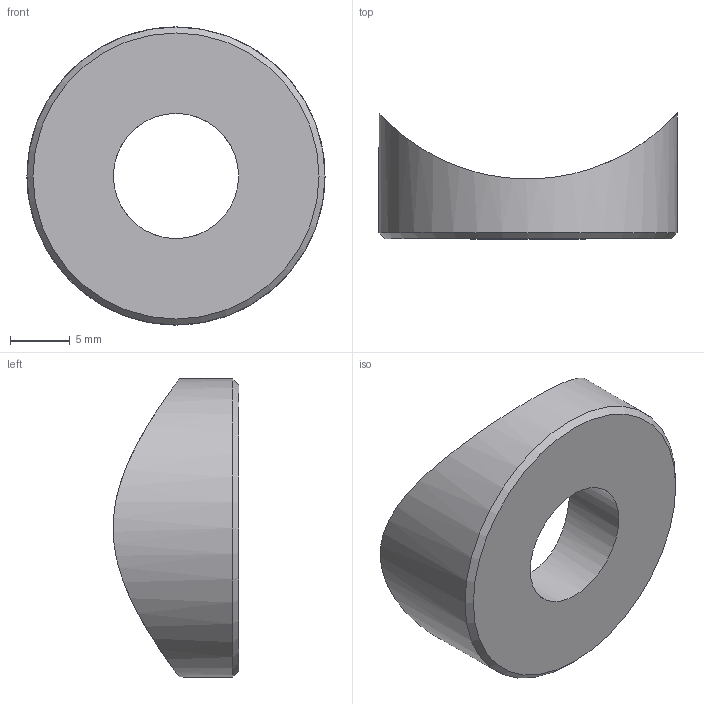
import cadquery as cq

OUTER_DIAMETER = 25.0
BORE_DIAMETER = 10.5
TUBE_DIAMETER = 33.7
CENTRE_THICKNESS = 5.0
FRONT_CHAMFER = 0.5

TUBE_RADIUS = TUBE_DIAMETER / 2
TUBE_AXIS_Y = CENTRE_THICKNESS + TUBE_RADIUS
BLANK_LENGTH = TUBE_AXIS_Y


def disc_blank():
    """Solid cylinder along +Y with a chamfered front rim."""
    blank = cq.Workplane("XZ").circle(OUTER_DIAMETER / 2).extrude(-BLANK_LENGTH)
    return blank.faces("<Y").edges().chamfer(FRONT_CHAMFER)


def tube_clearance():
    """Tube envelope, opened toward +Y so that it removes everything behind the saddle."""
    return (
        cq.Workplane("XY")
        .moveTo(-TUBE_RADIUS, TUBE_AXIS_Y)
        .threePointArc((0, CENTRE_THICKNESS), (TUBE_RADIUS, TUBE_AXIS_Y))
        .close()
        .extrude(OUTER_DIAMETER, both=True)
    )


def bore():
    """Through hole on the disc axis."""
    return cq.Workplane("XZ").circle(BORE_DIAMETER / 2).extrude(-BLANK_LENGTH)


result = disc_blank().cut(tube_clearance()).cut(bore())